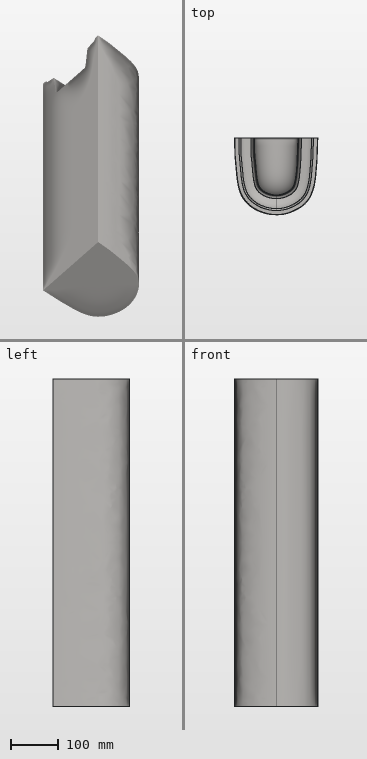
import cadquery as cq
import math

WIDTH = 175.0
DEPTH = 162.0
HEIGHT = 690.0

SIDE_RADIUS = 675.0
CORNER_RADIUS = 68.0
FRONT_RADIUS = 90.0

FLOOR_DROP = 68.0
FLOOR_ROUND = 2.0
RECESS_LEVELS = [
    (9.0, 0.0),
    (13.0, 7.0),
    (34.0, 12.0),
    (40.3, FLOOR_DROP - FLOOR_ROUND),
    (41.8, FLOOR_DROP),
]

FORWARD = (0, -1)
LEFTWARD = (-1, 0)
REARWARD = (0, 1)


def point_from(center, radius, angle):
    """Point at the given distance and direction from a centre."""
    return (center[0] + radius * math.cos(angle), center[1] + radius * math.sin(angle))


def corner_center():
    """Centre of the right-hand corner arc, tangent inside the side and front arcs."""
    side_x = WIDTH / 2 - SIDE_RADIUS
    front_y = FRONT_RADIUS - DEPTH
    side_reach = SIDE_RADIUS - CORNER_RADIUS
    front_reach = FRONT_RADIUS - CORNER_RADIUS
    span = math.hypot(side_x, front_y)
    along = (span**2 + side_reach**2 - front_reach**2) / (2 * span)
    turn = math.acos(along / side_reach)
    direction = math.atan2(front_y, -side_x)
    return point_from((side_x, 0), side_reach, direction - turn)


def mirrored(point):
    return (-point[0], point[1])


def outline(inset, z):
    """Closed D-shaped outline, offset inwards by inset and lying at height z, one curve per half."""
    side = (WIDTH / 2 - SIDE_RADIUS, 0)
    corner = corner_center()
    front = (0, FRONT_RADIUS - DEPTH)
    side_angle = math.atan2(corner[1] - side[1], corner[0] - side[0])
    front_angle = math.atan2(corner[1] - front[1], corner[0] - front[0])
    nose_angle = -math.pi / 2

    side_radius = SIDE_RADIUS - inset
    corner_radius = CORNER_RADIUS - inset
    front_radius = FRONT_RADIUS - inset

    back = (WIDTH / 2 - inset, 0)
    side_mid = point_from(side, side_radius, side_angle / 2)
    side_end = point_from(side, side_radius, side_angle)
    corner_mid = point_from(corner, corner_radius, (side_angle + front_angle) / 2)
    corner_end = point_from(corner, corner_radius, front_angle)
    front_mid = point_from(front, front_radius, (front_angle + nose_angle) / 2)
    nose = point_from(front, front_radius, nose_angle)
    half = [back, side_mid, side_end, corner_mid, corner_end, front_mid, nose]
    other_half = [mirrored(point) for point in reversed(half)]

    return (
        cq.Workplane("XY", origin=(0, 0, z))
        .moveTo(*back)
        .spline(half[1:], tangents=[FORWARD, LEFTWARD], includeCurrent=True)
        .spline(other_half[1:], tangents=[LEFTWARD, REARWARD], includeCurrent=True)
        .close()
    )


def column():
    return outline(0, 0).extrude(HEIGHT)


def recess_layer(upper, lower):
    """Part of the recess between two neighbouring levels, with straight sloping walls."""
    wires = [outline(inset, HEIGHT - drop).val() for inset, drop in (upper, lower)]
    return cq.Workplane(cq.Solid.makeLoft(wires, True))


def back_edge_round():
    """Strip that rounds the rear edge of the pocket floor."""
    floor_z = HEIGHT - FLOOR_DROP
    half_length = WIDTH / 2 - RECESS_LEVELS[-1][0]
    diagonal = FLOOR_ROUND * (1 - math.sqrt(0.5))
    return (
        cq.Workplane("YZ", origin=(-half_length, 0, 0))
        .moveTo(-FLOOR_ROUND, floor_z)
        .threePointArc((-diagonal, floor_z - diagonal), (0, floor_z - FLOOR_ROUND))
        .lineTo(0, floor_z)
        .close()
        .extrude(2 * half_length)
    )


result = column()
for upper_level, lower_level in zip(RECESS_LEVELS, RECESS_LEVELS[1:]):
    result = result.cut(recess_layer(upper_level, lower_level))
result = result.cut(back_edge_round())